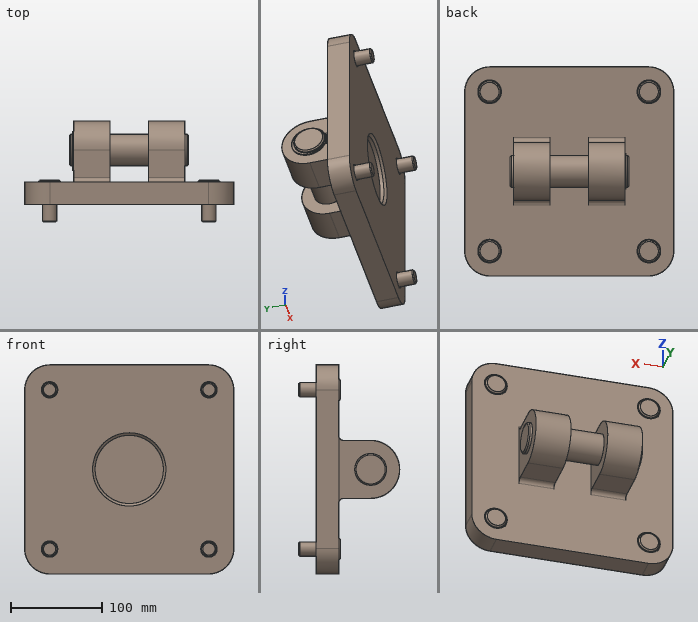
import cadquery as cq


plate_size = 230.0
plate_thickness = 25.0
plate_corner_radius = 28.0
recess_diameter = 75.0
recess_depth = 7.0
recess_chamfer = 2.8
lug_thickness = 40.0
lug_gap = 42.0
lug_radius = 32.0
lug_root_fillet = 5.0
pin_height = 35.0

screw_spacing = 175.0
shank_diameter = 16.0
shank_length = 30.0
shank_chamfer = 1.3
head_diameter = 24.0
head_height = 16.0
head_chamfer = 1.6
head_standout = 2.0
screw_hole_diameter = 18.0
counterbore_diameter = 26.0

pin_diameter = 35.0
pin_standout_clip_end = 4.6
pin_standout_plain_end = 4.0
pin_chamfer = 1.5

groove_diameter = 33.0
ring_thickness = 1.5
ring_outer_diameter = 39.0
ring_eccentricity = 0.9
ear_outer_radius = 22.4
ear_width = 14.4
ear_corner_radius = 2.0
ear_hole_diameter = 2.5
ear_hole_radius = 19.1
ear_hole_spacing = 8.4
ring_opening = 3.0

pin_y = plate_thickness + pin_height
lug_outer_x = lug_gap / 2 + lug_thickness
lug_root_y = plate_thickness
head_seat_y = plate_thickness + head_standout - head_height
screw_positions = [
    (x_side * screw_spacing / 2, z_side * screw_spacing / 2)
    for x_side in (-1, 1)
    for z_side in (-1, 1)
]


def disc_along_y(diameter, y_start, y_end, x=0.0, z=0.0):
    """Cylinder parallel to Y between two Y levels."""
    axis_start = cq.Vector(x, y_start, z)
    cylinder = cq.Solid.makeCylinder(diameter / 2, y_end - y_start, axis_start, cq.Vector(0, 1, 0))
    return cq.Workplane(obj=cylinder)


def plane_across_x(x):
    """Workplane facing +X at the given X, with local axes along Y and Z."""
    return cq.Workplane("YZ", origin=(x, 0, 0))


def make_lug(x_start):
    """Round-ended lug whose sides flare into the plate with concave fillets."""
    flare_z = lug_radius + lug_root_fillet
    fillet_end_y = lug_root_y + lug_root_fillet
    return (
        plane_across_x(x_start)
        .moveTo(lug_root_y, -flare_z)
        .radiusArc((fillet_end_y, -lug_radius), lug_root_fillet)
        .lineTo(pin_y, -lug_radius)
        .threePointArc((pin_y + lug_radius, 0), (pin_y, lug_radius))
        .lineTo(fillet_end_y, lug_radius)
        .radiusArc((lug_root_y, flare_z), lug_root_fillet)
        .close()
        .extrude(lug_thickness)
    )


def make_housing():
    body = (
        cq.Workplane("XZ")
        .rect(plate_size, plate_size)
        .extrude(-plate_thickness)
        .edges("|Y")
        .fillet(plate_corner_radius)
    )
    for lug_start_x in (-lug_outer_x, lug_gap / 2):
        body = body.union(make_lug(lug_start_x))

    pin_bore = plane_across_x(-lug_outer_x).center(pin_y, 0).circle(pin_diameter / 2).extrude(2 * lug_outer_x)
    body = body.cut(pin_bore)

    recess_mouth = cq.Workplane(
        obj=cq.Solid.makeCone(
            recess_diameter / 2 + recess_chamfer,
            recess_diameter / 2,
            recess_chamfer,
            cq.Vector(0, 0, 0),
            cq.Vector(0, 1, 0),
        )
    )
    body = body.cut(disc_along_y(recess_diameter, 0, recess_depth)).cut(recess_mouth)

    for x, z in screw_positions:
        body = body.cut(disc_along_y(screw_hole_diameter, 0, plate_thickness, x, z))
        body = body.cut(disc_along_y(counterbore_diameter, head_seat_y, plate_thickness, x, z))
    return body


def make_screw(x, z):
    """Cap screw driven toward -Y, its head seated in the counterbore."""
    shank = disc_along_y(shank_diameter, head_seat_y - shank_length, head_seat_y, x, z)
    head = disc_along_y(head_diameter, head_seat_y, head_seat_y + head_height, x, z)
    shank = shank.faces("<Y").chamfer(shank_chamfer)
    head = head.faces(">Y").chamfer(head_chamfer)
    return shank.union(head)


def make_pin():
    pin_start_x = -lug_outer_x - pin_standout_clip_end
    pin_length = 2 * lug_outer_x + pin_standout_clip_end + pin_standout_plain_end
    pin = (
        plane_across_x(pin_start_x)
        .center(pin_y, 0)
        .circle(pin_diameter / 2)
        .extrude(pin_length)
        .faces("<X or >X")
        .chamfer(pin_chamfer)
    )
    groove = (
        plane_across_x(-lug_outer_x - ring_thickness)
        .center(pin_y, 0)
        .circle(pin_diameter / 2)
        .circle(groove_diameter / 2)
        .extrude(ring_thickness)
    )
    return pin.cut(groove)


def make_retaining_ring():
    """Eccentric open ring whose two drilled ears point toward the plate."""
    ring_plane = plane_across_x(-lug_outer_x - ring_thickness).center(pin_y, 0)
    rim = ring_plane.center(ring_eccentricity, 0).circle(ring_outer_diameter / 2).extrude(ring_thickness)
    ears = (
        ring_plane.center(-ear_outer_radius / 2, 0)
        .rect(ear_outer_radius, ear_width)
        .extrude(ring_thickness)
        .intersect(ring_plane.circle(ear_outer_radius).extrude(ring_thickness))
        .edges("|X")
        .fillet(ear_corner_radius)
    )
    opening = (
        ring_plane.center(-ear_outer_radius / 2, 0)
        .rect(ear_outer_radius, ring_opening)
        .extrude(ring_thickness)
    )
    ear_holes = (
        ring_plane.pushPoints([(-ear_hole_radius, side * ear_hole_spacing / 2) for side in (-1, 1)])
        .circle(ear_hole_diameter / 2)
        .extrude(ring_thickness)
    )
    bore = ring_plane.circle(groove_diameter / 2).extrude(ring_thickness)
    return rim.union(ears).cut(bore).cut(opening).cut(ear_holes)


housing = make_housing()
pin = make_pin()
retaining_ring = make_retaining_ring()
screws = [make_screw(x, z) for x, z in screw_positions]

result = cq.Compound.makeCompound(
    [housing.val(), pin.val(), retaining_ring.val(), *[screw.val() for screw in screws]]
)